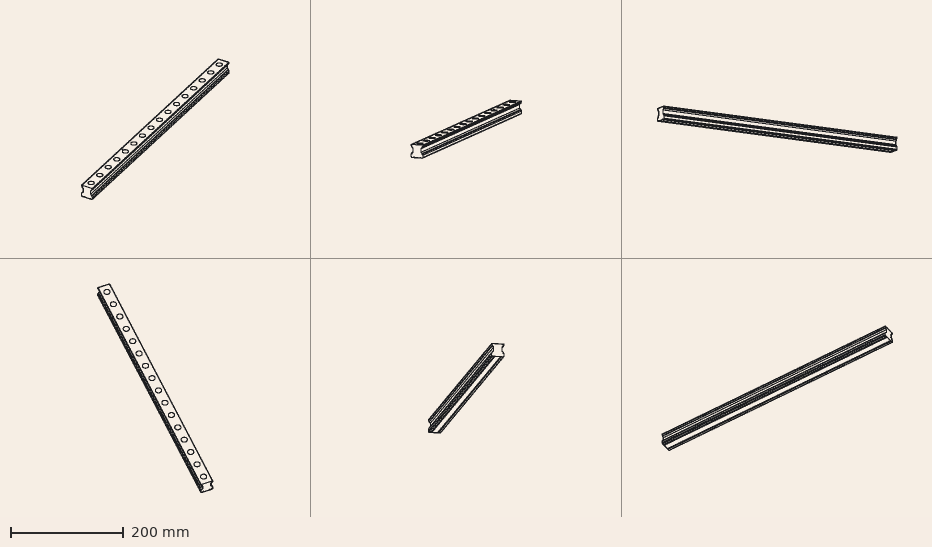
import cadquery as cq

LENGTH = 480.0
WIDTH = 23.0
HEIGHT = 23.6
HALF_WIDTH = WIDTH / 2
BOTTOM = -HEIGHT / 2
TOP = HEIGHT / 2

WEB_HALF_WIDTH = 7.7
NECK_HALF_WIDTH = 9.9
WEB_SLOPE = NECK_HALF_WIDTH - WEB_HALF_WIDTH
FLANK_SLOPE = HALF_WIDTH - NECK_HALF_WIDTH
BASE_STEP_BOTTOM = 7.2
BASE_STEP_TOP = 8.4
HEAD_STEP_BOTTOM = 19.3
HEAD_STEP_TOP = 20.3
BASE_CHAMFER = 1.4
HEAD_CHAMFER = 0.6

GROOVE_OFFSET = 6.0
GROOVE_WIDTH = 1.5
GROOVE_DEPTH = 0.4

HOLE_COUNT = 16
HOLE_PITCH = LENGTH / HOLE_COUNT
HOLE_DIAMETER = 11.0
HOLE_DEPTH = 0.2


def make_rail():
    """Extrude the symmetric rail profile along the whole length."""
    right_side = [
        (HALF_WIDTH - BASE_CHAMFER, 0),
        (HALF_WIDTH, BASE_CHAMFER),
        (HALF_WIDTH, BASE_STEP_BOTTOM - FLANK_SLOPE),
        (NECK_HALF_WIDTH, BASE_STEP_BOTTOM),
        (NECK_HALF_WIDTH, BASE_STEP_TOP),
        (WEB_HALF_WIDTH, BASE_STEP_TOP + WEB_SLOPE),
        (WEB_HALF_WIDTH, HEAD_STEP_BOTTOM - WEB_SLOPE),
        (NECK_HALF_WIDTH, HEAD_STEP_BOTTOM),
        (NECK_HALF_WIDTH, HEAD_STEP_TOP),
        (HALF_WIDTH, HEAD_STEP_TOP + FLANK_SLOPE),
        (HALF_WIDTH, HEIGHT - HEAD_CHAMFER),
        (HALF_WIDTH - HEAD_CHAMFER, HEIGHT),
    ]
    left_side = [(-x, z) for x, z in reversed(right_side)]
    return (
        cq.Workplane("XZ", origin=(0, 0, BOTTOM))
        .polyline(right_side + left_side)
        .close()
        .extrude(LENGTH / 2, both=True)
    )


def make_underside_grooves():
    """Rectangular grooves running the full length of the underside."""
    return (
        cq.Workplane("XY", origin=(0, 0, BOTTOM))
        .pushPoints([(-GROOVE_OFFSET, 0), (GROOVE_OFFSET, 0)])
        .rect(GROOVE_WIDTH, LENGTH)
        .extrude(GROOVE_DEPTH)
    )


def make_hole_recesses():
    """Equally spaced round recesses along the top face, half a pitch from each end."""
    return (
        cq.Workplane("XY", origin=(0, 0, TOP))
        .rarray(1, HOLE_PITCH, 1, HOLE_COUNT)
        .circle(HOLE_DIAMETER / 2)
        .extrude(-HOLE_DEPTH)
    )


result = make_rail().cut(make_underside_grooves()).cut(make_hole_recesses())